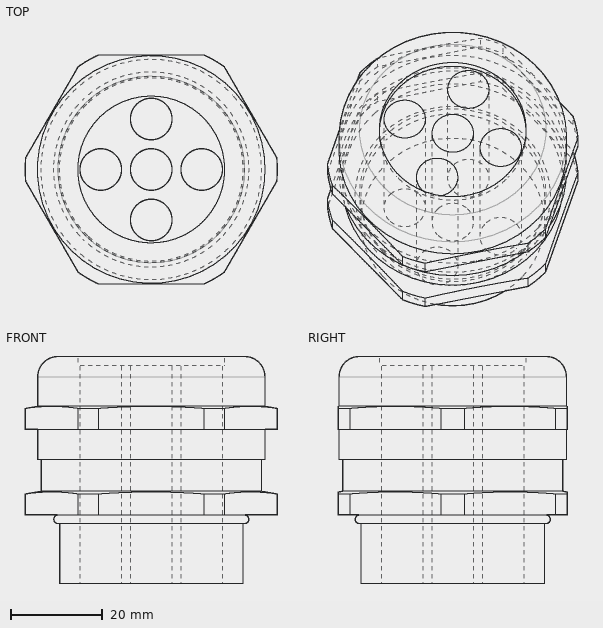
import cadquery as cq
import math

thread_top = 13.05
seal_top = 14.95
lower_hex_top = 20.15
cap_bottom = 27.0
upper_hex_bottom = 33.6
total_height = 49.5

thread_radius = 20.0
seal_radius = 21.3
body_radius = 24.05
cap_radius = 24.8
cap_rounding = 4.45

across_flats = 50.0
across_corners = across_flats / math.cos(math.radians(30))
corner_diameter = 55.0
hex_height = lower_hex_top - seal_top
hex_bevel_drop = 0.6

recess_radius = 16.0
recess_depth = 2.0
hole_diameter = 9.0
hole_spacing = 11.0


def cylinder(radius, bottom, top):
    return cq.Workplane("XY").workplane(offset=bottom).circle(radius).extrude(top - bottom)


def hex_collar(bottom):
    """Hexagon with rounded-off corners and a shallow conical bevel on top."""
    hexagon = (
        cq.Workplane("XY")
        .workplane(offset=bottom)
        .polygon(6, across_corners)
        .extrude(hex_height)
    )
    corner_radius = corner_diameter / 2
    top = bottom + hex_height
    envelope = (
        cq.Workplane("XZ")
        .moveTo(0, bottom)
        .lineTo(corner_radius, bottom)
        .lineTo(corner_radius, top - hex_bevel_drop)
        .lineTo(body_radius, top)
        .lineTo(0, top)
        .close()
        .revolve(360, (0, 0), (0, 1))
    )
    return hexagon.intersect(envelope)


seal_height = seal_top - thread_top
rim_radius = seal_height / 2
seal = (
    cq.Workplane("XZ")
    .moveTo(0, thread_top)
    .lineTo(seal_radius - rim_radius, thread_top)
    .threePointArc(
        (seal_radius, thread_top + rim_radius),
        (seal_radius - rim_radius, seal_top),
    )
    .lineTo(0, seal_top)
    .close()
    .revolve(360, (0, 0), (0, 1))
)

cap = cylinder(cap_radius, cap_bottom, total_height).faces(">Z").edges().fillet(cap_rounding)

gland = (
    cylinder(thread_radius, 0, thread_top)
    .union(seal)
    .union(hex_collar(seal_top))
    .union(cylinder(body_radius, seal_top, cap_bottom))
    .union(cap)
    .union(hex_collar(upper_hex_bottom))
)

gland = gland.cut(cylinder(recess_radius, total_height - recess_depth, total_height))

hole_centers = [
    (0, 0),
    (hole_spacing, 0),
    (-hole_spacing, 0),
    (0, hole_spacing),
    (0, -hole_spacing),
]
holes = cq.Workplane("XY").pushPoints(hole_centers).circle(hole_diameter / 2).extrude(total_height)

result = gland.cut(holes)